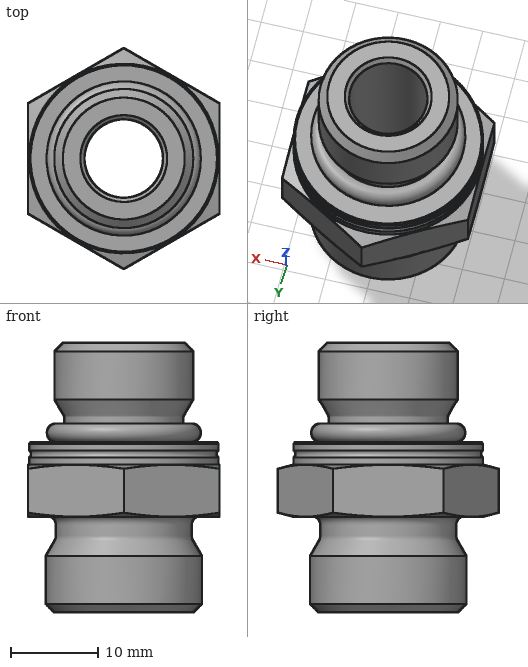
import cadquery as cq
import math

TOTAL_HEIGHT = 31
END_CHAMFER = 1.0
CONE_ANGLE = math.radians(30)
CONE_SLOPE = math.tan(CONE_ANGLE)

BORE_RADIUS = 4.5
BORE_CHAMFER = 0.5

LOWER_STUD_RADIUS = 18.0 / 2
LOWER_STUD_TOP = 6.48
LOWER_NECK_RADIUS = 7.85
LOWER_NECK_FILLET = 1.0
LOWER_FLARE_WIDTH = 0.53

HEX_BOTTOM = 10.97
HEX_HEIGHT = 6.0
HEX_ACROSS_FLATS = 22
HEX_CHAMFER_SLOPE = math.tan(math.radians(15))

COLLAR_RADIUS = 21.8 / 2
COLLAR_TOP = 19.55
COLLAR_CHAMFER = 0.2
GROOVE_BOTTOM = 17.8
GROOVE_WIDTH = 0.85
GROOVE_DEPTH = 0.22

UPPER_STUD_RADIUS = 8.0
UPPER_STUD_BOTTOM = 24.5
UPPER_NECK_RADIUS = 6.85
UPPER_NECK_FILLET = 0.4

RING_SECTION_RADIUS = 1.1
RING_OUTER_RADIUS = 8.87
RING_CENTRE_HEIGHT = 20.65

HEX_TOP = HEX_BOTTOM + HEX_HEIGHT
HEX_CORNER_RADIUS = HEX_ACROSS_FLATS / 2 / math.cos(math.radians(30))
LOWER_CONE_TOP = LOWER_STUD_TOP + (LOWER_STUD_RADIUS - LOWER_NECK_RADIUS) / CONE_SLOPE
UPPER_CONE_BOTTOM = UPPER_STUD_BOTTOM - (UPPER_STUD_RADIUS - UPPER_NECK_RADIUS) / CONE_SLOPE
RING_CENTRE_RADIUS = RING_OUTER_RADIUS - RING_SECTION_RADIUS


def revolve_profile(profile):
    """Close a profile of radius and height, and turn it about Z."""
    return profile.close().revolve(360, (0, 0, 0), (0, 1, 0))


def neck_blend(neck_radius, corner_height, fillet, neck_direction):
    """Arc points from cone to neck; neck_direction is 1 if the neck is above the cone, else -1."""
    tangent_length = fillet * math.tan(CONE_ANGLE / 2)
    neck_end = (neck_radius, corner_height + neck_direction * tangent_length)
    cone_end = (
        neck_radius + tangent_length * math.sin(CONE_ANGLE),
        corner_height - neck_direction * tangent_length * math.cos(CONE_ANGLE),
    )
    middle = (
        neck_radius + fillet * (1 - math.cos(CONE_ANGLE / 2)),
        neck_end[1] - neck_direction * fillet * math.sin(CONE_ANGLE / 2),
    )
    return cone_end, middle, neck_end


def lower_stud():
    """Chamfered stud, cone and neck, flaring in an arc into the hexagon."""
    flare_angle = math.acos(1 - LOWER_FLARE_WIDTH / LOWER_NECK_FILLET)
    flare_start = HEX_BOTTOM - LOWER_NECK_FILLET * math.sin(flare_angle)
    flare_middle = (
        LOWER_NECK_RADIUS + LOWER_NECK_FILLET * (1 - math.cos(flare_angle / 2)),
        flare_start + LOWER_NECK_FILLET * math.sin(flare_angle / 2),
    )

    blend_start, blend_middle, blend_end = neck_blend(
        LOWER_NECK_RADIUS, LOWER_CONE_TOP, LOWER_NECK_FILLET, 1
    )
    return revolve_profile(
        cq.Workplane("XZ")
        .moveTo(0, 0)
        .lineTo(LOWER_STUD_RADIUS - END_CHAMFER, 0)
        .lineTo(LOWER_STUD_RADIUS, END_CHAMFER)
        .lineTo(LOWER_STUD_RADIUS, LOWER_STUD_TOP)
        .lineTo(*blend_start)
        .threePointArc(blend_middle, blend_end)
        .lineTo(LOWER_NECK_RADIUS, flare_start)
        .threePointArc(flare_middle, (LOWER_NECK_RADIUS + LOWER_FLARE_WIDTH, HEX_BOTTOM))
        .lineTo(0, HEX_BOTTOM)
    )


def hexagon():
    """Hexagon with corners on Y, its corners trimmed by a shallow cone at both ends."""
    prism = (
        cq.Workplane("XY", origin=(0, 0, HEX_BOTTOM))
        .polygon(6, 2 * HEX_CORNER_RADIUS)
        .extrude(HEX_HEIGHT)
        .rotate((0, 0, 0), (0, 0, 1), 30)
    )
    corner_drop = (HEX_CORNER_RADIUS - COLLAR_RADIUS) * HEX_CHAMFER_SLOPE
    trim = revolve_profile(
        cq.Workplane("XZ")
        .moveTo(0, HEX_BOTTOM)
        .lineTo(COLLAR_RADIUS, HEX_BOTTOM)
        .lineTo(HEX_CORNER_RADIUS, HEX_BOTTOM + corner_drop)
        .lineTo(HEX_CORNER_RADIUS, HEX_TOP - corner_drop)
        .lineTo(COLLAR_RADIUS, HEX_TOP)
        .lineTo(0, HEX_TOP)
    )
    return prism.intersect(trim)


def collar():
    """Round collar on the hexagon, with an arc-shaped groove and a broken top edge."""
    return revolve_profile(
        cq.Workplane("XZ")
        .moveTo(0, HEX_TOP)
        .lineTo(COLLAR_RADIUS, HEX_TOP)
        .lineTo(COLLAR_RADIUS, GROOVE_BOTTOM)
        .threePointArc(
            (COLLAR_RADIUS - GROOVE_DEPTH, GROOVE_BOTTOM + GROOVE_WIDTH / 2),
            (COLLAR_RADIUS, GROOVE_BOTTOM + GROOVE_WIDTH),
        )
        .lineTo(COLLAR_RADIUS, COLLAR_TOP - COLLAR_CHAMFER)
        .lineTo(COLLAR_RADIUS - COLLAR_CHAMFER, COLLAR_TOP)
        .lineTo(0, COLLAR_TOP)
    )


def upper_stud():
    """Neck, cone and chamfered stud above the collar."""
    blend_start, blend_middle, blend_end = neck_blend(
        UPPER_NECK_RADIUS, UPPER_CONE_BOTTOM, UPPER_NECK_FILLET, -1
    )
    return revolve_profile(
        cq.Workplane("XZ")
        .moveTo(0, COLLAR_TOP)
        .lineTo(UPPER_NECK_RADIUS, COLLAR_TOP)
        .lineTo(*blend_end)
        .threePointArc(blend_middle, blend_start)
        .lineTo(UPPER_STUD_RADIUS, UPPER_STUD_BOTTOM)
        .lineTo(UPPER_STUD_RADIUS, TOTAL_HEIGHT - END_CHAMFER)
        .lineTo(UPPER_STUD_RADIUS - END_CHAMFER, TOTAL_HEIGHT)
        .lineTo(0, TOTAL_HEIGHT)
    )


def bore():
    """Through bore with a countersunk mouth at the top."""
    return revolve_profile(
        cq.Workplane("XZ")
        .moveTo(0, 0)
        .lineTo(BORE_RADIUS, 0)
        .lineTo(BORE_RADIUS, TOTAL_HEIGHT - BORE_CHAMFER)
        .lineTo(BORE_RADIUS + BORE_CHAMFER, TOTAL_HEIGHT)
        .lineTo(0, TOTAL_HEIGHT)
    )


def make_seal_ring():
    """Round-section ring seated in the neck and the collar face."""
    return (
        cq.Workplane("XZ")
        .center(RING_CENTRE_RADIUS, RING_CENTRE_HEIGHT)
        .circle(RING_SECTION_RADIUS)
        .revolve(360, (-RING_CENTRE_RADIUS, 0, 0), (-RING_CENTRE_RADIUS, 1, 0))
    )


def make_fitting(seal_ring):
    """Hexagon fitting, bored through and recessed for the seal ring."""
    outside = lower_stud().union(hexagon()).union(collar()).union(upper_stud())
    return outside.cut(bore()).cut(seal_ring)


seal_ring = make_seal_ring()
fitting = make_fitting(seal_ring)

result = cq.Compound.makeCompound([fitting.val(), seal_ring.val()])